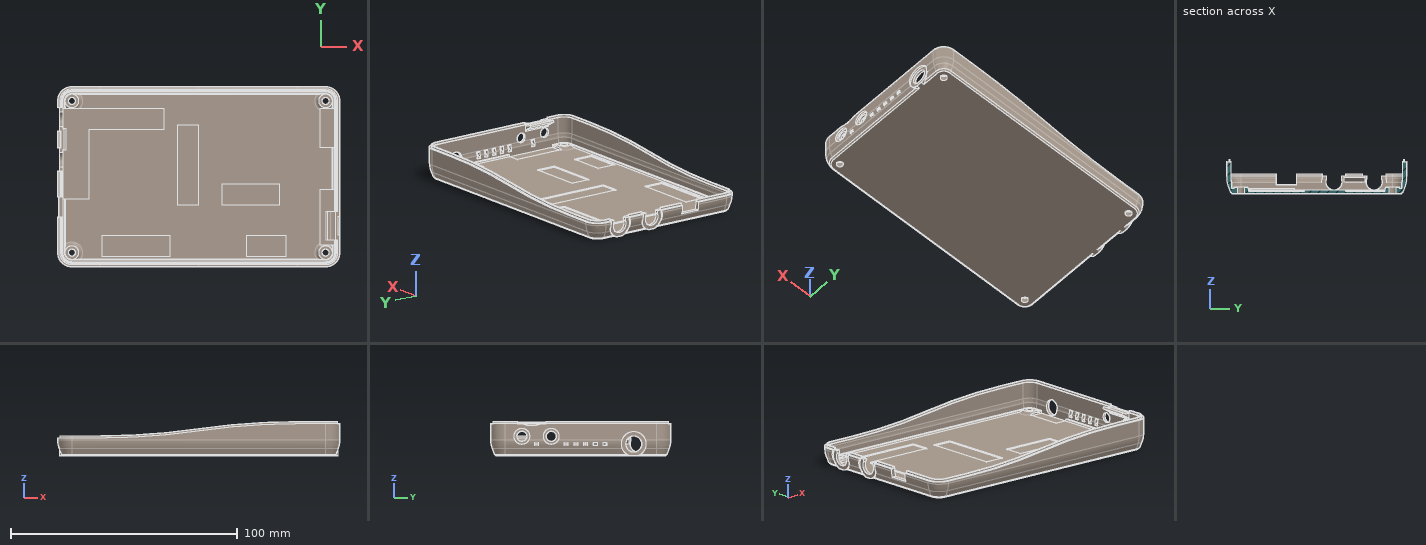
import cadquery as cq
import math

LENGTH = 124.93
WIDTH = 79.81
HEIGHT = 15.24
CORNER_R = 6.35

LIP_HEIGHT = 0.95
RIM_HIGH = HEIGHT - LIP_HEIGHT
RIM_LOW = 8.0
RIM_RUN = 43.6

OUTSIDE = -1.0
LIP_INSET = 1.0
LIP_INNER_INSET = 1.6
PAD_INSET = 0.84
SWITCH_INSET = 0.45
WALL = 2.0
LEDGE_OUTER = 2.3
LEDGE_INNER = 3.1
FLOOR_INSET = 3.5

CURVE_TOP = 7.0
CURVE_BOTTOM = 3.4
CURVE_R = 10.0
CHAMFER_HEIGHT = 0.75
CHAMFER_WIDTH = 0.8

POCKET_Z = 1.3
FLOOR_Z = 1.8
LEDGE_Z = 2.5
INNER_CURVE_BOTTOM = 5.05

BOSS_D = 6.02
SCREW_D = 3.01
BOSS_FLARE = 1.7
BOSS_HEIGHT = 1.2

JACK_D = 7.02
JACK_Z = 5.3
JACK_SLOT_WIDTH = 6.45
PAD_D = 11.0
PAD_SLOT_WIDTH = 10.3
LEFT_JACKS_Y = (25.4, 7.62)
RIGHT_JACK_Y = 23.45

SWITCH_Y = -13.46
SWITCH_WIDTH = 8.89
SWITCH_SILL_Z = 4.2

BUTTON_D = 4.41
BUTTON_Z = 8.7
BUTTON_RECESS_D = 7.02
BUTTONS_Y = (-13.05, -26.05)
VENT_PITCH = 4.32
VENT_FIRST_Y = 10.8
VENT_COUNT = 5
VENT_WIDTH = 1.7
VENT_Z = 5.3
VENT_INNER_HEIGHT = 3.4
VENT_OUTER_HEIGHT = 0.9
VENT_THROAT_INSET = 0.5

HOOK_Y = -21.7
HOOK_WIDTH = 12.7
HOOK_TROUGH_INSET = 4.1
HOOK_TROUGH_DEPTH = 0.2
HOOK_TOP = (5.6, 15.0)
HOOK_TIP = (6.1, 14.2)
HOOK_ROOT = (2.3, 12.0)
HOOK_FOOT_Z = 11.3

DIP_D = 20.0
DIP_DEPTH = 0.9

CLIP_Y = 16.6
CLIP_WIDTH = 9.3
CLIP_FLAT_INSET = 2.9
CLIP_TIP = (3.8, 7.2)
CLIP_FOOT_Z = 5.0

END_X = LENGTH / 2 - LEDGE_OUTER
POCKETS = (
    (-END_X, -15.3, 20.9, 30.1),
    (-END_X, -48.6, -9.9, 30.1),
    (-9.5, -0.1, -12.5, 23.0),
    (10.3, 35.7, -12.5, -3.1),
    (-42.8, -12.8, -35.2, -25.9),
    (21.2, 38.6, -35.2, -25.9),
    (53.6, END_X, 12.9, 30.1),
    (53.6, END_X, -30.1, -5.6),
)


def outline(inset, z):
    """Rounded rectangle of the case, offset inwards, as a sketch at height z."""
    radius = CORNER_R - inset
    sketch = cq.Sketch().rect(LENGTH - 2 * inset, WIDTH - 2 * inset).vertices().fillet(radius)
    return cq.Workplane("XY").workplane(offset=z).placeSketch(sketch)


def prism(inset, z_low, z_high):
    return outline(inset, z_low).extrude(z_high - z_low)


def around_outline(profile):
    """Sweep an XZ profile, drawn at the +X side, once around the case outline."""
    path = cq.Workplane("XY").rect(LENGTH, WIDTH).extrude(1).edges("|Z").fillet(CORNER_R)
    path = path.faces("<Z").wires().val()
    return profile.sweep(cq.Workplane(path), transition="round")


def box(x_low, x_high, y_low, y_high, z_low, z_high):
    size = (x_high - x_low, y_high - y_low, z_high - z_low)
    return cq.Workplane("XY").box(*size, centered=False).translate((x_low, y_low, z_low))


def end_box(side, inset_low, inset_high, y, width, z_low, z_high):
    """Box at the -X (side -1) or +X (side 1) end, between two insets."""
    xs = sorted(side * (LENGTH / 2 - inset) for inset in (inset_low, inset_high))
    return box(xs[0], xs[1], y - width / 2, y + width / 2, z_low, z_high)


def end_cylinder(side, inset_low, inset_high, y, z, diameter):
    """X-axis cylinder at the -X (side -1) or +X (side 1) end, between two insets."""
    xs = sorted(side * (LENGTH / 2 - inset) for inset in (inset_low, inset_high))
    disc = cq.Workplane("YZ").workplane(offset=xs[0]).center(y, z).circle(diameter / 2)
    return disc.extrude(xs[1] - xs[0])


def end_profile(side, points, y, width):
    """Extrude an outline of (inset, z) points along Y at one end."""
    corners = [(side * (LENGTH / 2 - inset), z) for inset, z in points]
    plane = cq.Workplane("XZ").workplane(offset=-(y + width / 2))
    return plane.polyline(corners).close().extrude(width)


def below_rim(raise_by):
    """Everything under the S-shaped rim, lifted by raise_by."""
    low = RIM_LOW + raise_by
    high = RIM_HIGH + raise_by
    middle = (low + high) / 2
    half_rise = (high - low) / 2
    radius = (RIM_RUN ** 2 + half_rise ** 2) / (2 * half_rise)
    x_mid = radius * math.sin(math.asin(RIM_RUN / radius) / 2)
    sag = radius - math.sqrt(radius ** 2 - x_mid ** 2)
    profile = (
        cq.Workplane("XZ").workplane(offset=-WIDTH)
        .moveTo(-LENGTH, 0)
        .lineTo(-LENGTH, low)
        .lineTo(-RIM_RUN, low)
        .threePointArc((x_mid - RIM_RUN, low + sag), (0, middle))
        .threePointArc((RIM_RUN - x_mid, high - sag), (RIM_RUN, high))
        .lineTo(LENGTH, high)
        .lineTo(LENGTH, 0)
        .close()
    )
    return profile.extrude(2 * WIDTH)


def underside_cutter():
    """Material outside the curved, sloped and chamfered lower side."""
    drop = CURVE_TOP - CURVE_BOTTOM
    end_angle = math.asin(drop / CURVE_R)
    curve_inset = CURVE_R * (1 - math.cos(end_angle))
    slope_inset = curve_inset + (CURVE_BOTTOM - CHAMFER_HEIGHT) * math.tan(end_angle)
    mid_inset = CURVE_R * (1 - math.cos(end_angle / 2))
    mid_z = CURVE_TOP - CURVE_R * math.sin(end_angle / 2)
    side = LENGTH / 2
    beyond = side - OUTSIDE
    profile = (
        cq.Workplane("XZ")
        .moveTo(side, CURVE_TOP)
        .threePointArc((side - mid_inset, mid_z), (side - curve_inset, CURVE_BOTTOM))
        .lineTo(side - slope_inset, CHAMFER_HEIGHT)
        .lineTo(side - slope_inset - CHAMFER_WIDTH, 0)
        .lineTo(beyond, 0)
        .lineTo(beyond, CURVE_TOP)
        .close()
    )
    return around_outline(profile)


def outer_shell():
    shell = prism(0, 0, HEIGHT).intersect(below_rim(0)).cut(underside_cutter())
    lip = prism(LIP_INSET, CURVE_TOP, HEIGHT).cut(prism(LIP_INNER_INSET, CURVE_TOP, HEIGHT))
    lip = lip.intersect(below_rim(LIP_HEIGHT))
    return shell.union(lip)


def inner_curve():
    """Ring that thickens the wall from the upper to the lower inner face."""
    step = LEDGE_OUTER - WALL
    drop = CURVE_TOP - INNER_CURVE_BOTTOM
    radius = (drop ** 2 + step ** 2) / (2 * step)
    half_angle = math.asin(drop / radius) / 2
    inner_face = LENGTH / 2 - WALL
    mid = (inner_face - radius * (1 - math.cos(half_angle)), CURVE_TOP - radius * math.sin(half_angle))
    profile = (
        cq.Workplane("XZ")
        .moveTo(inner_face, CURVE_TOP)
        .threePointArc(mid, (LENGTH / 2 - LEDGE_OUTER, INNER_CURVE_BOTTOM))
        .lineTo(inner_face, INNER_CURVE_BOTTOM)
        .close()
    )
    return around_outline(profile)


def cavity():
    upper = prism(WALL, INNER_CURVE_BOTTOM, HEIGHT).cut(inner_curve())
    lower = prism(LEDGE_OUTER, LEDGE_Z, INNER_CURVE_BOTTOM)
    slope = math.degrees(math.atan2(FLOOR_INSET - LEDGE_INNER, LEDGE_Z - FLOOR_Z))
    floor = outline(LEDGE_INNER, LEDGE_Z).extrude(FLOOR_Z - LEDGE_Z, taper=slope)
    return upper.union(lower).union(floor)


def screw_boss(x, y):
    """Boss whose foot flares out to the floor in an arc tangent to it."""
    top_r = BOSS_D / 2
    foot_r = top_r + BOSS_FLARE
    top_z = FLOOR_Z + BOSS_HEIGHT
    flare_radius = (BOSS_FLARE ** 2 + BOSS_HEIGHT ** 2) / (2 * BOSS_HEIGHT)
    half_angle = math.asin(BOSS_FLARE / flare_radius) / 2
    mid_r = foot_r - flare_radius * math.sin(half_angle)
    mid_z = FLOOR_Z + flare_radius * (1 - math.cos(half_angle))
    profile = (
        cq.Workplane("XZ")
        .moveTo(0, POCKET_Z)
        .lineTo(foot_r, POCKET_Z)
        .lineTo(foot_r, FLOOR_Z)
        .threePointArc((mid_r, mid_z), (top_r, top_z))
        .lineTo(0, top_z)
        .close()
    )
    return profile.revolve(360, (0, 0, 0), (0, 1, 0)).translate((x, y, 0))


def floor_pockets():
    pockets = cq.Workplane("XY")
    for x_low, x_high, y_low, y_high in POCKETS:
        pockets = pockets.union(box(x_low, x_high, y_low, y_high, POCKET_Z, INNER_CURVE_BOTTOM))
    return pockets


def jack_pad(side, y, inset_low, inset_high):
    """Round pad, flush with the base plane."""
    pad = end_cylinder(side, inset_low, inset_high, y, JACK_Z, PAD_D)
    return pad.intersect(box(-LENGTH, LENGTH, -WIDTH, WIDTH, 0, HEIGHT))


def low_end_pad(y, inset_low, inset_high, top):
    """Round pad of an open jack, continued straight up."""
    pad = jack_pad(-1, y, inset_low, inset_high)
    upright = end_box(-1, inset_low, inset_high, y, PAD_SLOT_WIDTH, JACK_Z, top)
    return pad.union(upright).intersect(box(-LENGTH, LENGTH, -WIDTH, WIDTH, 0, top))


def low_end_jack(y):
    """Jack opening with a narrower slot up to the rim."""
    hole = end_cylinder(-1, OUTSIDE, FLOOR_INSET, y, JACK_Z, JACK_D)
    return hole.union(end_box(-1, OUTSIDE, FLOOR_INSET, y, JACK_SLOT_WIDTH, JACK_Z, HEIGHT))


def switch_slot():
    recess = end_box(-1, OUTSIDE, SWITCH_INSET, SWITCH_Y, SWITCH_WIDTH, 0, HEIGHT)
    slot = end_box(-1, OUTSIDE, FLOOR_INSET, SWITCH_Y, SWITCH_WIDTH, SWITCH_SILL_Z, HEIGHT)
    return recess.union(slot)


def vent(y):
    """Narrow slot through the high end, flared towards the inside."""
    inner = VENT_INNER_HEIGHT / 2
    outer = VENT_OUTER_HEIGHT / 2
    points = (
        (OUTSIDE, VENT_Z - outer),
        (VENT_THROAT_INSET, VENT_Z - outer),
        (LEDGE_OUTER, VENT_Z - inner),
        (LEDGE_OUTER, VENT_Z + inner),
        (VENT_THROAT_INSET, VENT_Z + outer),
        (OUTSIDE, VENT_Z + outer),
    )
    return end_profile(1, points, y, VENT_WIDTH)


def hook():
    """Catch on the high end, with a trough behind its raised tip."""
    x_wall = LENGTH / 2
    mid_inset = (WALL + HOOK_TROUGH_INSET) / 2
    profile = (
        cq.Workplane("XZ").workplane(offset=-(HOOK_Y + HOOK_WIDTH / 2))
        .moveTo(x_wall - LIP_INSET, RIM_HIGH)
        .lineTo(x_wall - WALL, RIM_HIGH)
        .threePointArc(
            (x_wall - mid_inset, RIM_HIGH - HOOK_TROUGH_DEPTH),
            (x_wall - HOOK_TROUGH_INSET, RIM_HIGH),
        )
    )
    for inset, z in (HOOK_TOP, HOOK_TIP, HOOK_ROOT, (WALL, HOOK_FOOT_Z), (LIP_INSET, HOOK_FOOT_Z)):
        profile = profile.lineTo(x_wall - inset, z)
    return profile.close().extrude(HOOK_WIDTH)


def clip():
    points = (
        (LIP_INSET, RIM_LOW),
        (CLIP_FLAT_INSET, RIM_LOW),
        CLIP_TIP,
        (WALL, CLIP_FOOT_Z),
        (LIP_INSET, CLIP_FOOT_Z),
    )
    return end_profile(-1, points, CLIP_Y, CLIP_WIDTH)


screw_x = LENGTH / 2 - CORNER_R
screw_y = WIDTH / 2 - CORNER_R
screws = [(x, y) for x in (-screw_x, screw_x) for y in (-screw_y, screw_y)]

vents_y = [VENT_FIRST_Y - index * VENT_PITCH for index in range(VENT_COUNT)]
vents_y.append(sum(BUTTONS_Y) / 2)

case = outer_shell()
case = case.union(jack_pad(1, RIGHT_JACK_Y, PAD_INSET, FLOOR_INSET))
case = case.cut(end_cylinder(1, OUTSIDE, PAD_INSET, RIGHT_JACK_Y, JACK_Z, PAD_D))
for jack_y in LEFT_JACKS_Y:
    case = case.union(low_end_pad(jack_y, PAD_INSET, FLOOR_INSET, RIM_LOW))
    case = case.cut(low_end_pad(jack_y, OUTSIDE, PAD_INSET, HEIGHT))
case = case.cut(cavity())

for jack_y in LEFT_JACKS_Y:
    case = case.cut(end_box(-1, OUTSIDE, LEDGE_OUTER, jack_y, PAD_SLOT_WIDTH, RIM_LOW, HEIGHT))
    case = case.union(low_end_pad(jack_y, PAD_INSET, LEDGE_OUTER, RIM_LOW))

case = case.cut(end_box(1, OUTSIDE, WALL, HOOK_Y, HOOK_WIDTH, RIM_HIGH, HEIGHT))
dip_z = RIM_HIGH - DIP_DEPTH + DIP_D / 2
case = case.union(hook()).union(clip())
case = case.cut(end_cylinder(1, OUTSIDE, PAD_INSET, HOOK_Y, dip_z, DIP_D))

for x, y in screws:
    case = case.union(screw_boss(x, y))
case = case.cut(floor_pockets())
case = case.cut(cq.Workplane("XY").pushPoints(screws).circle(SCREW_D / 2).extrude(HEIGHT))

for jack_y in LEFT_JACKS_Y:
    case = case.cut(low_end_jack(jack_y))
case = case.cut(switch_slot())
case = case.cut(end_cylinder(1, OUTSIDE, FLOOR_INSET, RIGHT_JACK_Y, JACK_Z, JACK_D))
for button_y in BUTTONS_Y:
    case = case.cut(end_cylinder(1, OUTSIDE, FLOOR_INSET, button_y, BUTTON_Z, BUTTON_D))
    case = case.cut(end_cylinder(1, OUTSIDE, PAD_INSET, button_y, BUTTON_Z, BUTTON_RECESS_D))
for vent_y in vents_y:
    case = case.cut(vent(vent_y))

result = case